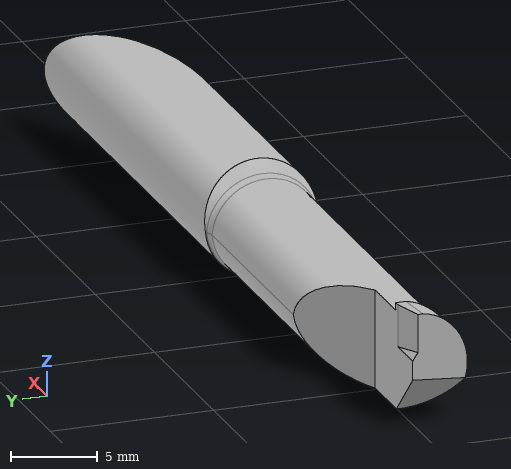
import cadquery as cq
import math

length = 53.3
shank_radius = 7.0 / 2
shank_start = 25.45
end_angle = math.radians(30)

neck_radius = 3.3
neck_drop = 0.55
root_radius = 1.05
shoulder_angle = math.radians(30)

flat_y = 0.2
flat_length = 6.35
ramp_angle = math.radians(30)

head_length = 2.95
land_y = -0.4
head_front_top = 3.45
head_back_top = 3.2
seam_front_z = 0.25
seam_back_z = -0.25
front_relief_angle = math.radians(7)
heel_start_z = -0.55

rake_length = 2.5
rake_depth = 0.345
rake_floor_z = 0.65
rake_floor_rise = 0.5

margin = 5.35


def make_turned_body(axis_z, neck_start):
    """Neck flaring through a root fillet and a cone, turned about a line along X; wider before neck_start."""
    fillet_end_x = shank_start + root_radius * math.sin(shoulder_angle)
    fillet_end_r = neck_radius + root_radius * (1 - math.cos(shoulder_angle))
    fillet_mid_x = shank_start + root_radius * math.sin(shoulder_angle / 2)
    fillet_mid_r = neck_radius + root_radius * (1 - math.cos(shoulder_angle / 2))
    outer_r = shank_radius + 2 * neck_drop
    cone_end_x = fillet_end_x + (outer_r - fillet_end_r) / math.tan(shoulder_angle)
    profile = (
        cq.Workplane("XZ")
        .moveTo(-2 * margin, 0)
        .lineTo(-2 * margin, outer_r)
        .lineTo(neck_start, outer_r)
        .lineTo(neck_start, neck_radius)
        .lineTo(shank_start, neck_radius)
        .threePointArc((fillet_mid_x, fillet_mid_r), (fillet_end_x, fillet_end_r))
        .lineTo(cone_end_x, outer_r)
        .lineTo(length, outer_r)
        .lineTo(length, 0)
        .close()
    )
    return profile.revolve(360, (0, 0), (1, 0)).translate((0, 0, axis_z))


def make_bar():
    """Shank and neck, including the slanted end."""
    bar = cq.Workplane("YZ").circle(shank_radius).extrude(length)
    bar = bar.intersect(make_turned_body(0, -margin))
    bar = bar.intersect(make_turned_body(-neck_drop, head_length))
    slant_run = 2 * shank_radius / math.tan(end_angle)
    end_waste = (
        cq.Workplane("XY")
        .polyline([
            (length, shank_radius),
            (length - slant_run, -shank_radius),
            (length, -shank_radius),
        ])
        .close()
        .extrude(shank_radius, both=True)
    )
    return bar.cut(end_waste)


def make_flat_waste():
    """Material beside the flat, ending in a ramp up to the full neck."""
    ramp_rise = shank_radius - flat_y
    ramp_run = ramp_rise / math.tan(ramp_angle)
    return (
        cq.Workplane("XY")
        .polyline([
            (0, flat_y),
            (flat_length, flat_y),
            (flat_length + ramp_run, shank_radius),
            (0, shank_radius),
        ])
        .close()
        .extrude(shank_radius, both=True)
    )


def make_above_seam():
    """Space over the sloped seam that parts the head top from the neck cylinder."""
    return (
        cq.Workplane("XZ")
        .polyline([
            (0, seam_front_z),
            (head_length, seam_back_z),
            (head_length, margin),
            (0, margin),
        ])
        .close()
        .extrude(margin, both=True)
    )


def make_head_top():
    """Top land and rounded flank, tilted to fall away behind the cutting edge."""
    diagonal = math.sqrt(0.5)
    flank_radius = (math.hypot(land_y, head_front_top) + neck_radius) / 2
    tilt = math.degrees(math.atan((head_front_top - head_back_top) / head_length))
    prism = (
        cq.Workplane("YZ", origin=(-margin, 0, 0))
        .moveTo(flat_y, head_front_top)
        .lineTo(land_y, head_front_top)
        .threePointArc((-flank_radius * diagonal, flank_radius * diagonal), (-neck_radius, 0))
        .lineTo(-neck_radius, -margin)
        .lineTo(flat_y, -margin)
        .close()
        .extrude(head_length + 2 * margin)
    )
    pivot = (0, 0, head_front_top)
    prism = prism.rotate(pivot, (0, 1, head_front_top), tilt)
    return prism.intersect(make_above_seam())


def make_front_waste():
    """Wedge that slopes the front face back toward -Y."""
    depth = margin + flat_y
    return (
        cq.Workplane("XY")
        .polyline([
            (0, flat_y),
            (depth * math.tan(front_relief_angle), -margin),
            (-margin, -margin),
            (-margin, flat_y),
        ])
        .close()
        .extrude(margin, both=True)
    )


def make_heel_waste():
    """45 degree bevel below the front face."""
    bevel = margin + heel_start_z
    return (
        cq.Workplane("XZ")
        .polyline([(0, heel_start_z), (bevel, -margin), (-margin, -margin), (-margin, heel_start_z)])
        .close()
        .extrude(margin, both=True)
    )


def make_rake_waste():
    """Groove above a sloped floor, deepest at the front and running out on the flat."""
    wedge = (
        cq.Workplane("XY")
        .polyline([(0, flat_y), (0, flat_y - rake_depth), (rake_length, flat_y)])
        .close()
        .extrude(shank_radius)
    )
    above_floor = (
        cq.Workplane("YZ")
        .polyline([
            (flat_y, rake_floor_z),
            (flat_y - rake_depth, rake_floor_z + rake_floor_rise),
            (flat_y - rake_depth, margin),
            (flat_y, margin),
        ])
        .close()
        .extrude(rake_length)
    )
    return wedge.intersect(above_floor)


head_top = make_head_top().cut(make_front_waste()).cut(make_rake_waste())
result = make_bar().cut(make_flat_waste()).cut(make_above_seam())
result = result.cut(make_front_waste()).cut(make_heel_waste())
result = result.union(head_top)